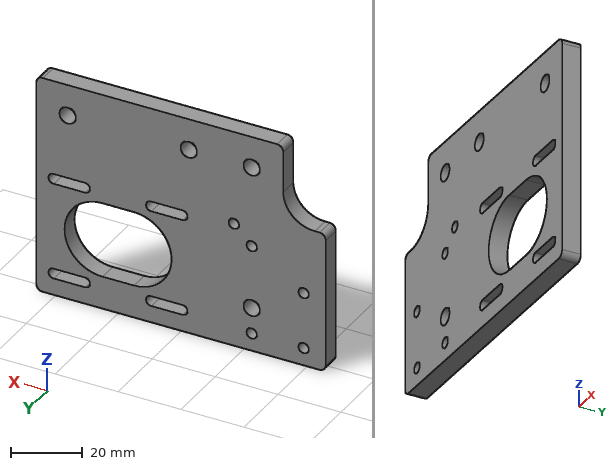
import cadquery as cq

WIDTH = 92.0
HEIGHT = 70.0
THICKNESS = 6.0
CORNER_RADIUS = 2.0

NOTCH_WIDTH = 13.5
NOTCH_HEIGHT = 25.0
NOTCH_RADIUS = 10.0

MOTOR_X = 66.0
MOTOR_Z = 22.5
MOTOR_TRAVEL = 10.0
MOTOR_OPENING_DIAMETER = 24.0
MOTOR_BOLT_SPACING = 31.0
MOTOR_SLOT_WIDTH = 3.2

MOUNT_COLUMN_X = 23.5
LARGE_HOLE_DIAMETER = 5.2
TOP_ROW_Z = 60.0
LARGE_HOLES = [
    (MOUNT_COLUMN_X, TOP_ROW_Z),
    (43.5, TOP_ROW_Z),
    (82.0, TOP_ROW_Z),
    (MOUNT_COLUMN_X, 14.0),
]
SMALL_HOLE_DIAMETER = 3.3
BOTTOM_ROW_Z = 5.67
LEFT_COLUMN_X = 7.0
LEFT_PAIR_SPACING = 18.0
SMALL_HOLES = [
    (LEFT_COLUMN_X, BOTTOM_ROW_Z),
    (MOUNT_COLUMN_X, BOTTOM_ROW_Z),
    (LEFT_COLUMN_X, BOTTOM_ROW_Z + LEFT_PAIR_SPACING),
    (MOUNT_COLUMN_X, 34.25),
    (29.16, 39.95),
]


def front_sketch():
    """Workplane on the front face: local x is X, local y is Z, extrusion goes to -Y."""
    return cq.Workplane("XZ")


def make_plate():
    """Plate with a notched corner, its outer corners rounded and the inner one filleted."""
    notch_floor = HEIGHT - NOTCH_HEIGHT
    outline = front_sketch().polyline([
        (0, 0),
        (WIDTH, 0),
        (WIDTH, HEIGHT),
        (NOTCH_WIDTH, HEIGHT),
        (NOTCH_WIDTH, notch_floor),
        (0, notch_floor),
    ]).close()
    plate = outline.extrude(-THICKNESS)
    inner_corner = cq.selectors.NearestToPointSelector((NOTCH_WIDTH, THICKNESS / 2, notch_floor))
    outer_corners = plate.edges("|Y").edges(cq.selectors.InverseSelector(inner_corner))
    plate = outer_corners.fillet(CORNER_RADIUS)
    return plate.edges("|Y").edges(inner_corner).fillet(NOTCH_RADIUS)


def round_cutters(centres, diameter):
    """Cylinders through the plate thickness."""
    return front_sketch().pushPoints(centres).circle(diameter / 2).extrude(-THICKNESS)


def slot_cutters(centres, width):
    """Round-ended slots along X, through the plate thickness, of the motor's travel."""
    length = MOTOR_TRAVEL + width
    return front_sketch().pushPoints(centres).slot2D(length, width).extrude(-THICKNESS)


motor_centre = (MOTOR_X, MOTOR_Z)
bolt_offset = MOTOR_BOLT_SPACING / 2
motor_bolts = [
    (MOTOR_X + side * bolt_offset, MOTOR_Z + level * bolt_offset)
    for side in (-1, 1)
    for level in (-1, 1)
]

result = (
    make_plate()
    .cut(round_cutters(LARGE_HOLES, LARGE_HOLE_DIAMETER))
    .cut(round_cutters(SMALL_HOLES, SMALL_HOLE_DIAMETER))
    .cut(slot_cutters([motor_centre], MOTOR_OPENING_DIAMETER))
    .cut(slot_cutters(motor_bolts, MOTOR_SLOT_WIDTH))
)